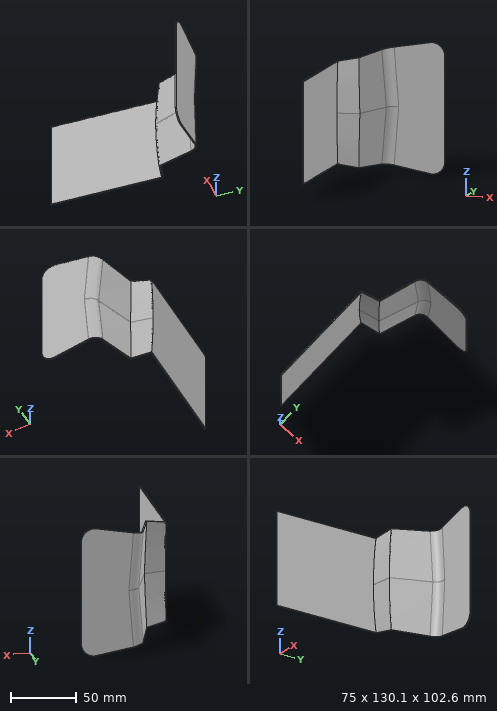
import cadquery as cq
import math

thickness = 1.0
width = 75.0
plate_half_height = 40.0
taper_angle = 10.0
corner_radius = 10.0

plate_end_y = -130.15
plate_corner_y = -41.6
knee_x = 17.5
knee_y = -37.8
bend_x = 31.2
bend_radius = 9.5
flange_slope = 1.25

reference_height = plate_half_height
plate_corner_rise = 2.4
knee_rise = 2.0
knee_shift = -1.3
bend_shift = -3.4

taper = math.tan(math.radians(taper_angle))
end_half_height = plate_half_height + width * taper
trim_margin = 5.0
section_count = 3


def flange_y(x):
    """Y of the outer flange line, which passes Y = 0 at the bend corner of the middle section."""
    return -(x - bend_x) * math.tan(math.radians(flange_slope))


def outer_corners(z):
    """Corner points of the outer side of the sheet at height z."""
    linear = z / reference_height
    square = linear**2
    bend_corner_x = bend_x + bend_shift * linear
    end_x = width + trim_margin
    return [
        cq.Vector(0, plate_end_y),
        cq.Vector(0, plate_corner_y + plate_corner_rise * square),
        cq.Vector(knee_x + knee_shift * linear, knee_y + knee_rise * square),
        cq.Vector(bend_corner_x, flange_y(bend_corner_x)),
        cq.Vector(end_x, flange_y(end_x)),
    ]


def right_normal(start, end):
    """Unit vector to the right of the direction from start to end."""
    direction = (end - start).normalized()
    return cq.Vector(direction.y, -direction.x)


def inner_corners(outer):
    """Outer corners moved one sheet thickness inwards, mitred at each corner."""
    normals = [right_normal(a, b) for a, b in zip(outer, outer[1:])]
    before = [normals[0]] + normals
    after = normals + [normals[-1]]
    return [
        point + (n1 + n2) * (thickness / (1 + n1.dot(n2)))
        for point, n1, n2 in zip(outer, before, after)
    ]


def bend_arc(corners, radius):
    """Start, middle and end of the arc that rounds the bend corner."""
    knee, corner, end = corners[2:]
    to_knee = (knee - corner).normalized()
    to_end = (end - corner).normalized()
    half_angle = to_knee.getAngle(to_end) / 2
    tangent_length = radius / math.tan(half_angle)
    middle_distance = radius / math.sin(half_angle) - radius
    bisector = (to_knee + to_end).normalized()
    return (
        corner + to_knee * tangent_length,
        corner + bisector * middle_distance,
        corner + to_end * tangent_length,
    )


def section(z):
    """Closed outline of the sheet at height z."""
    outer = outer_corners(z)
    inner = inner_corners(outer)
    outer_start, outer_middle, outer_end = bend_arc(outer, bend_radius)
    inner_start, inner_middle, inner_end = bend_arc(inner, bend_radius - thickness)

    def flat(point):
        return (point.x, point.y)

    return (
        cq.Workplane("XY", origin=(0, 0, z))
        .polyline([flat(p) for p in outer[:3]] + [flat(outer_start)])
        .threePointArc(flat(outer_middle), flat(outer_end))
        .lineTo(*flat(outer[-1]))
        .lineTo(*flat(inner[-1]))
        .lineTo(*flat(inner_end))
        .threePointArc(flat(inner_middle), flat(inner_start))
        .polyline([flat(p) for p in reversed(inner[:3])], includeCurrent=True)
        .close()
        .wire()
        .val()
    )


def bent_sheet():
    """Upper half lofted through its sections, then mirrored about Z = 0."""
    top = end_half_height + trim_margin
    heights = [top * i / (section_count - 1) for i in range(section_count)]
    upper = cq.Workplane(cq.Solid.makeLoft([section(z) for z in heights]))
    return upper.union(upper.mirror("XY"))


def front_outline():
    """Tapered block with rounded flange corners that trims the sheet."""
    return (
        cq.Workplane("XZ", origin=(0, trim_margin, 0))
        .moveTo(0, -plate_half_height)
        .lineTo(width, -end_half_height)
        .lineTo(width, end_half_height)
        .lineTo(0, plate_half_height)
        .close()
        .extrude(2 * trim_margin - plate_end_y)
        .edges("|Y and >X")
        .fillet(corner_radius)
    )


def plate_edge_trim():
    """Slivers above and below the plate, which keeps straight edges parallel to Y."""
    plate_top_y = inner_corners(outer_corners(plate_half_height))[1].y
    sliver = cq.Workplane("XY").box(
        thickness,
        plate_top_y - plate_end_y,
        trim_margin,
        centered=False,
    )
    upper = sliver.translate((0, plate_end_y, plate_half_height))
    return upper.union(upper.mirror("XY"))


result = bent_sheet().intersect(front_outline()).cut(plate_edge_trim())